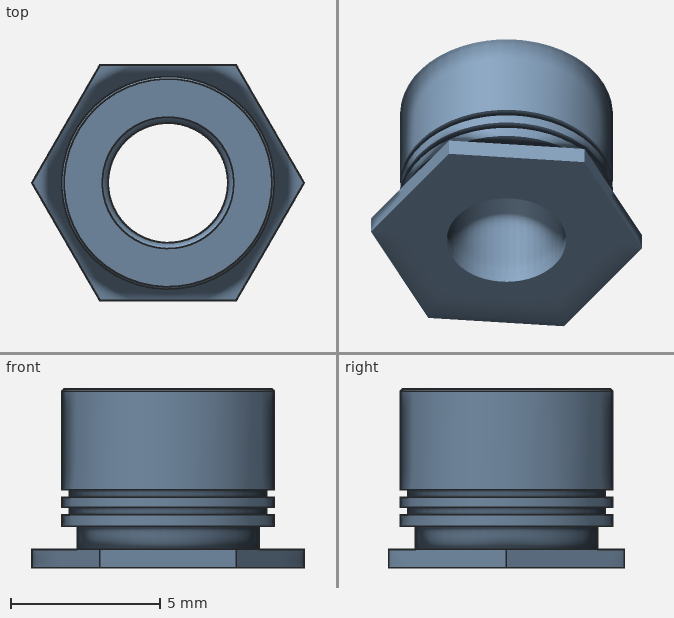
import cadquery as cq

across_corners = 9.12
flange_height = 0.62

barrel_diameter = 7.12
groove_diameter = 6.61
neck_diameter = 6.1
bore_diameter = 4.0

neck_top = 1.395
lower_ring_top = 1.78
lower_groove_top = 2.025
upper_ring_top = 2.36
upper_groove_top = 2.62
total_height = 6.0

rim_chamfer = 0.08
bore_chamfer = 0.2


def cylinder(diameter, bottom, top):
    """Upright cylinder on the Z axis between two levels."""
    return cq.Workplane("XY").workplane(offset=bottom).circle(diameter / 2).extrude(top - bottom)


result = cq.Workplane("XY").polygon(6, across_corners).extrude(flange_height)

collar_sections = [
    (neck_diameter, neck_top),
    (barrel_diameter, lower_ring_top),
    (groove_diameter, lower_groove_top),
    (barrel_diameter, upper_ring_top),
    (groove_diameter, upper_groove_top),
]
bottom = flange_height
for diameter, top in collar_sections:
    result = result.union(cylinder(diameter, bottom, top))
    bottom = top

barrel = cylinder(barrel_diameter, bottom, total_height).faces(">Z").edges().chamfer(rim_chamfer)
result = result.union(barrel)

result = result.cut(cylinder(bore_diameter, 0, total_height))
bore_mouth = cq.selectors.RadiusNthSelector(0)
result = result.faces(">Z").edges(bore_mouth).chamfer(bore_chamfer)